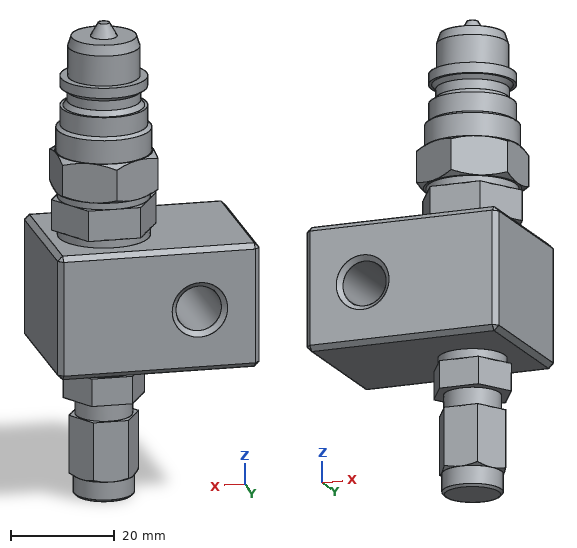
import cadquery as cq
import math

block_length = 40.0
block_width = 30.0
block_height = 25.0
block_chamfer = 1.0

hole_x = -8.0
hole_diameter = 9.0
hole_mouth_diameter = 11.0
hole_z = block_height / 2

fitting_x = 8.0
fitting_y = 2.0

hex_chamfer_angle = 30.0

upper_collar_diameter = 18.0
upper_collar_height = 1.6
adapter_hex_flats = 18.0
adapter_hex_top = 7.75
plug_hex_flats = 19.0
plug_hex_bottom = 9.2
plug_hex_top = 17.1
body_diameter = 18.6
body_top = 21.8
shoulder_diameter = 17.0
shoulder_bottom = 22.35
shoulder_top = 26.2
groove_diameter = 14.3
groove_mouth_diameter = 15.8
groove_floor_bottom = 27.25
groove_floor_top = 29.2
flange_bottom = 30.1
flange_top = 32.15
nose_diameter = 14.0
nose_taper_start = 38.2
nose_tip_diameter = 12.7
nose_top = 40.2
poppet_base_diameter = 5.2
poppet_tip_diameter = 2.2
poppet_top = 42.85

lower_collar_diameter = 13.4
lower_collar_depth = 1.9
union_hex_flats = 14.0
union_hex_bottom = 7.45
neck_diameter = 11.2
nut_hex_flats = 12.0
nut_hex_top = 11.1
nut_hex_bottom = 23.3
nut_sleeve_diameter = 11.9
nut_end_chamfer = 0.5
lower_length = 27.41


def turned(profile):
    """Solid of revolution about Z from (diameter, z) stations listed bottom to top."""
    points = [(0, profile[0][1])]
    points += [(diameter / 2, z) for diameter, z in profile]
    points += [(0, profile[-1][1])]
    return cq.Workplane("XZ").polyline(points).close().revolve(360, (0, 0, 0), (0, 1, 0))


def hexagon(flats, z_bottom, z_top, corner_angle):
    """Hexagonal prism on the Z axis with one corner pointing at corner_angle from +X."""
    corner_diameter = flats / math.cos(math.pi / 6)
    prism = cq.Workplane("XY").polygon(6, corner_diameter).extrude(z_top - z_bottom)
    return prism.rotate((0, 0, 0), (0, 0, 1), corner_angle).translate((0, 0, z_bottom))


def corner_chamfer_envelope(flats, z_bottom, z_top, chamfer_bottom, chamfer_top):
    """Turned envelope whose conical ends run out at the flats of a hexagon."""
    corner_diameter = flats / math.cos(math.pi / 6)
    drop = (corner_diameter - flats) / 2 * math.tan(math.radians(hex_chamfer_angle))
    profile = []
    if chamfer_bottom:
        profile += [(flats, z_bottom), (corner_diameter, z_bottom + drop)]
    else:
        profile += [(corner_diameter, z_bottom)]
    if chamfer_top:
        profile += [(corner_diameter, z_top - drop), (flats, z_top)]
    else:
        profile += [(corner_diameter, z_top)]
    return turned(profile)


def make_block():
    block = cq.Workplane("XY").box(block_length, block_width, block_height, centered=(True, True, False))
    block = block.edges().chamfer(block_chamfer)
    mouth_depth = (hole_mouth_diameter - hole_diameter) / 2
    half_width = block_width / 2
    cutter = turned([
        (hole_mouth_diameter, -half_width),
        (hole_diameter, -half_width + mouth_depth),
        (hole_diameter, half_width - mouth_depth),
        (hole_mouth_diameter, half_width),
    ])
    cutter = cutter.rotate((0, 0, 0), (1, 0, 0), 90).translate((hole_x, 0, hole_z))
    return block.cut(cutter)


def make_upper_fitting():
    core = turned([
        (upper_collar_diameter, 0),
        (upper_collar_diameter, plug_hex_bottom),
        (body_diameter, plug_hex_bottom),
        (body_diameter, body_top),
        (shoulder_diameter, shoulder_bottom),
        (shoulder_diameter, shoulder_top),
        (groove_mouth_diameter, shoulder_top),
        (groove_diameter, groove_floor_bottom),
        (groove_diameter, groove_floor_top),
        (groove_mouth_diameter, flange_bottom),
        (shoulder_diameter, flange_bottom),
        (shoulder_diameter, flange_top),
        (nose_diameter, flange_top),
        (nose_diameter, nose_taper_start),
        (nose_tip_diameter, nose_top),
        (poppet_base_diameter, nose_top),
        (poppet_tip_diameter, poppet_top),
    ])
    adapter_hex = hexagon(adapter_hex_flats, upper_collar_height, adapter_hex_top, 0)
    plug_hex = hexagon(plug_hex_flats, plug_hex_bottom, plug_hex_top, 90)
    plug_hex = plug_hex.intersect(
        corner_chamfer_envelope(plug_hex_flats, plug_hex_bottom, plug_hex_top, True, True)
    )
    return core.union(adapter_hex).union(plug_hex)


def make_lower_fitting():
    core = turned([
        (nut_sleeve_diameter - 2 * nut_end_chamfer, -lower_length),
        (nut_sleeve_diameter, -lower_length + nut_end_chamfer),
        (nut_sleeve_diameter, -nut_hex_bottom),
        (neck_diameter, -nut_hex_bottom),
        (neck_diameter, -union_hex_bottom),
        (lower_collar_diameter, -union_hex_bottom),
        (lower_collar_diameter, 0),
    ])
    union_hex = hexagon(union_hex_flats, -union_hex_bottom, -lower_collar_depth, 0)
    nut_hex = hexagon(nut_hex_flats, -nut_hex_bottom, -nut_hex_top, 0)
    nut_hex = nut_hex.intersect(
        corner_chamfer_envelope(nut_hex_flats, -nut_hex_bottom, -nut_hex_top, True, False)
    )
    return core.union(union_hex).union(nut_hex)


upper_fitting = make_upper_fitting().translate((fitting_x, fitting_y, block_height))
lower_fitting = make_lower_fitting().translate((fitting_x, fitting_y, 0))
result = make_block().union(upper_fitting).union(lower_fitting)